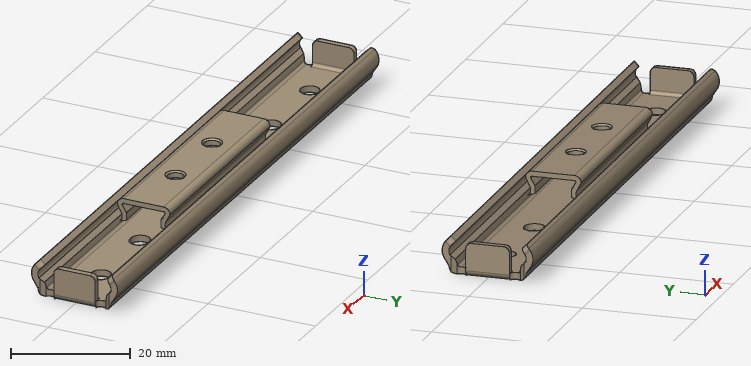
import cadquery as cq
import math

RAIL_LENGTH = 100.0
RAIL_HALF_WIDTH = 8.0
TOTAL_HEIGHT = 7.5

TRACK_Y = 5.4
TRACK_Z = 4.2

FLOOR_THICKNESS = 1.2
WALL_OUTER_RADIUS = RAIL_HALF_WIDTH - TRACK_Y
TRACK_RADIUS = WALL_OUTER_RADIUS - FLOOR_THICKNESS
LIP_ANGLE = 45
LIP_STRAIGHT = 0.7
LIP_CORNER_RADIUS = 1.0
FLOOR_OUTER_ROUND = 1.6
FLOOR_OUTER_ROUND_Y = 5.2
FLOOR_INNER_ROUND = 0.5
FLOOR_INNER_ROUND_Y = 5.0
WALL_OUTER_BOTTOM_Z = 2.7
TRACK_BOTTOM_Z = 3.5
STEP_Y = 5.8
STEP_Z = 2.7

TAB_HALF_WIDTH = 3.85
TAB_HEIGHT = 5.9
TAB_THICKNESS = 1.1
TAB_CORNER_RADIUS = 1.0
BEND_OUTER_RADIUS = 1.0
BEND_INNER_RADIUS = 0.6
BEND_LENGTH = TAB_THICKNESS + BEND_INNER_RADIUS

NOTCH_DEPTH = 1.1
NOTCH_APEX_Y = 4.7
NOTCH_SLOPE_X = 0.6
NOTCH_SLOPE_Y = 5.6
NOTCH_OUTER_Y = 6.4

HOLE_DIAMETER = 3.4
SLOT_LENGTH = 3.9
ROUND_HOLE_X = 10.0
SLOT_X = (25.0, 75.0, 90.0)

SLIDER_LENGTH = 38.3
SLIDER_CENTER_X = 54.4
SLIDER_THICKNESS = 0.9
SHOULDER_RADIUS = 1.2
SHOULDER_Y = 3.7
LEG_TRACK_TOP_Z = 5.0
LEG_INNER_Y = 3.2
LEG_OUTER_END_Z = 3.2
LEG_INNER_END_Z = 3.6

COLLAR_SPACING = 14.0
COLLAR_RADIUS = 2.1
COLLAR_BOTTOM_Z = 6.3
THREAD_DIAMETER = 2.9
THREAD_CHAMFER = 0.3


def on_circle(center, radius, degrees):
    """Point of a circle in a sketch plane, angle measured from its first axis."""
    angle = math.radians(degrees)
    return (center[0] + radius * math.cos(angle), center[1] + radius * math.sin(angle))


def mirrored_bar(half_section, length):
    """Extrude a +Y half section along X and join it with its mirror image."""
    half = half_section.close().extrude(length)
    return half.union(half.mirror("XZ")).clean()


def both_ends(feature):
    """The feature at X = 0 and its mirror image at the far end of the rail."""
    return [feature, feature.mirror("YZ", (RAIL_LENGTH / 2, 0, 0))]


def rail_bar():
    """C-shaped rail section with a round ball track and an inclined lip on each side."""
    track = (TRACK_Y, TRACK_Z)
    lip_outer = on_circle(track, WALL_OUTER_RADIUS, LIP_ANGLE)
    lip_inner = on_circle(track, TRACK_RADIUS, LIP_ANGLE)
    outer_tip = on_circle(lip_outer, LIP_STRAIGHT, LIP_ANGLE + 90)
    inner_tip = on_circle(lip_inner, LIP_STRAIGHT, LIP_ANGLE + 90)

    wall_drop = TRACK_Z - WALL_OUTER_BOTTOM_Z
    wall_bottom_y = TRACK_Y + math.sqrt(WALL_OUTER_RADIUS**2 - wall_drop**2)
    outer_round = (FLOOR_OUTER_ROUND_Y, FLOOR_OUTER_ROUND)

    track_drop = TRACK_Z - TRACK_BOTTOM_Z
    track_bottom_y = TRACK_Y + math.sqrt(TRACK_RADIUS**2 - track_drop**2)
    inner_round = (FLOOR_INNER_ROUND_Y, FLOOR_THICKNESS + FLOOR_INNER_ROUND)

    section = (
        cq.Workplane("YZ")
        .moveTo(0, 0)
        .lineTo(FLOOR_OUTER_ROUND_Y, 0)
        .threePointArc(
            on_circle(outer_round, FLOOR_OUTER_ROUND, -45),
            on_circle(outer_round, FLOOR_OUTER_ROUND, 0),
        )
        .lineTo(wall_bottom_y, WALL_OUTER_BOTTOM_Z)
        .threePointArc(on_circle(track, WALL_OUTER_RADIUS, 0), lip_outer)
        .lineTo(*outer_tip)
        .lineTo(*inner_tip)
        .lineTo(*lip_inner)
        .threePointArc(on_circle(track, TRACK_RADIUS, 0), (track_bottom_y, TRACK_BOTTOM_Z))
        .lineTo(STEP_Y, STEP_Z)
        .lineTo(*on_circle(inner_round, FLOOR_INNER_ROUND, 0))
        .threePointArc(
            on_circle(inner_round, FLOOR_INNER_ROUND, -45),
            on_circle(inner_round, FLOOR_INNER_ROUND, -90),
        )
        .lineTo(0, FLOOR_THICKNESS)
    )
    bar = mirrored_bar(section, RAIL_LENGTH)
    return round_lip_corners(bar, outer_tip, inner_tip)


def round_lip_corners(bar, outer_tip, inner_tip):
    """Round the four free corners of the lips, where the tip faces meet the rail ends."""
    middle_y = (outer_tip[0] + inner_tip[0]) / 2
    middle_z = (outer_tip[1] + inner_tip[1]) / 2
    for x in (0, RAIL_LENGTH):
        for side in (-1, 1):
            tip_edge = cq.selectors.NearestToPointSelector((x, side * middle_y, middle_z))
            bar = bar.edges(tip_edge).fillet(LIP_CORNER_RADIUS)
    return bar


def end_cutouts():
    """Room for the tab bend and the relief notches beside it, at X = 0."""
    notch = (
        cq.Workplane("XY")
        .moveTo(0, TAB_HALF_WIDTH)
        .threePointArc((NOTCH_DEPTH, NOTCH_APEX_Y), (NOTCH_SLOPE_X, NOTCH_SLOPE_Y))
        .lineTo(0, NOTCH_OUTER_Y)
        .close()
        .extrude(TOTAL_HEIGHT)
    )
    bend_room = cq.Workplane("XY").box(
        BEND_LENGTH, 2 * TAB_HALF_WIDTH, TOTAL_HEIGHT, centered=(False, True, False)
    )
    return notch.union(notch.mirror("XZ")).union(bend_room)


def end_tab():
    """Tab bent upwards from the floor at X = 0, with rounded upper corners."""
    outer_center = (BEND_OUTER_RADIUS, BEND_OUTER_RADIUS)
    inner_center = (BEND_LENGTH, FLOOR_THICKNESS + BEND_INNER_RADIUS)
    return (
        cq.Workplane("XZ")
        .moveTo(BEND_LENGTH, 0)
        .lineTo(BEND_OUTER_RADIUS, 0)
        .threePointArc(on_circle(outer_center, BEND_OUTER_RADIUS, 225), (0, BEND_OUTER_RADIUS))
        .lineTo(0, TAB_HEIGHT)
        .lineTo(TAB_THICKNESS, TAB_HEIGHT)
        .lineTo(TAB_THICKNESS, inner_center[1])
        .threePointArc(
            on_circle(inner_center, BEND_INNER_RADIUS, 225),
            (BEND_LENGTH, FLOOR_THICKNESS),
        )
        .close()
        .extrude(TAB_HALF_WIDTH, both=True)
        .edges("|X and >Z")
        .fillet(TAB_CORNER_RADIUS)
    )


def mounting_holes():
    """One round hole and a row of short slots through the floor."""
    round_hole = (
        cq.Workplane("XY").center(ROUND_HOLE_X, 0).circle(HOLE_DIAMETER / 2).extrude(FLOOR_THICKNESS)
    )
    slots = (
        cq.Workplane("XY")
        .pushPoints([(x, 0) for x in SLOT_X])
        .slot2D(SLOT_LENGTH, HOLE_DIAMETER)
        .extrude(FLOOR_THICKNESS)
    )
    return round_hole.union(slots)


def make_rail():
    rail = rail_bar()
    for cutout in both_ends(end_cutouts()):
        rail = rail.cut(cutout)
    for tab in both_ends(end_tab()):
        rail = rail.union(tab)
    return rail.cut(mounting_holes())


def slider_bar():
    """Hat-shaped slider section: flat top, round shoulders and legs hollowed for the balls."""
    track = (TRACK_Y, TRACK_Z)
    shoulder = (SHOULDER_Y, TOTAL_HEIGHT - SHOULDER_RADIUS)
    inner_radius = SHOULDER_RADIUS - SLIDER_THICKNESS
    track_top_y = TRACK_Y - math.sqrt(TRACK_RADIUS**2 - (LEG_TRACK_TOP_Z - TRACK_Z) ** 2)
    leg_end_y = TRACK_Y - math.sqrt(TRACK_RADIUS**2 - (TRACK_Z - LEG_OUTER_END_Z) ** 2)

    section = (
        cq.Workplane("YZ")
        .moveTo(0, TOTAL_HEIGHT)
        .lineTo(SHOULDER_Y, TOTAL_HEIGHT)
        .threePointArc(
            on_circle(shoulder, SHOULDER_RADIUS, 45),
            on_circle(shoulder, SHOULDER_RADIUS, 0),
        )
        .lineTo(track_top_y, LEG_TRACK_TOP_Z)
        .threePointArc(on_circle(track, TRACK_RADIUS, 180), (leg_end_y, LEG_OUTER_END_Z))
        .lineTo(LEG_INNER_Y, LEG_INNER_END_Z)
        .lineTo(LEG_INNER_Y, LEG_TRACK_TOP_Z)
        .lineTo(*on_circle(shoulder, inner_radius, 0))
        .threePointArc(
            on_circle(shoulder, inner_radius, 45),
            on_circle(shoulder, inner_radius, 90),
        )
        .lineTo(0, TOTAL_HEIGHT - SLIDER_THICKNESS)
    )
    start_x = SLIDER_CENTER_X - SLIDER_LENGTH / 2
    return mirrored_bar(section, SLIDER_LENGTH).translate((start_x, 0, 0))


def make_slider():
    slider = slider_bar()
    for side in (-1, 1):
        x = SLIDER_CENTER_X + side * COLLAR_SPACING / 2
        collar = (
            cq.Workplane("XY", origin=(x, 0, COLLAR_BOTTOM_Z))
            .circle(COLLAR_RADIUS)
            .extrude(TOTAL_HEIGHT - COLLAR_BOTTOM_Z)
        )
        thread_hole = (
            cq.Workplane("XY", origin=(x, 0, TOTAL_HEIGHT))
            .circle(THREAD_DIAMETER / 2)
            .extrude(COLLAR_BOTTOM_Z - TOTAL_HEIGHT)
        )
        countersink = cq.Workplane(
            cq.Solid.makeCone(
                THREAD_DIAMETER / 2,
                THREAD_DIAMETER / 2 + THREAD_CHAMFER,
                THREAD_CHAMFER,
                pnt=cq.Vector(x, 0, TOTAL_HEIGHT - THREAD_CHAMFER),
            )
        )
        slider = slider.union(collar).cut(thread_hole).cut(countersink)
    return slider


rail = make_rail()
slider = make_slider()
result = cq.Compound.makeCompound([rail.val(), slider.val()])